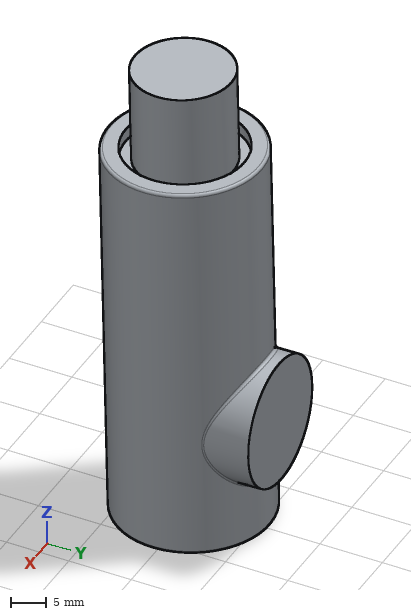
import cadquery as cq
import math

overall_height = 76.6
tilt_angle = 1.25
body_radius = 12.25
body_height = 62.75
edge_radius = 0.45
shaft_radius = 7.75
recess_radius = 9.5
recess_depth = 2.0
branch_radius = 10.0
branch_height = 18.9
branch_reach = 14.3

lean_sin = math.sin(math.radians(tilt_angle))
lean_cos = math.cos(math.radians(tilt_angle))
rim_drop = (body_radius - edge_radius) * lean_sin + edge_radius * (1 - lean_cos)
axis_length = (overall_height - rim_drop - shaft_radius * lean_sin) / lean_cos
recess_floor = body_height - recess_depth


def make_body():
    """Upright cylinder with both rims rounded."""
    body = cq.Workplane("XY").circle(body_radius).extrude(body_height)
    return body.edges("%CIRCLE").fillet(edge_radius)


def add_branch(body):
    """Short round stub on the +Y side, blended into the body wall."""
    stub = (
        cq.Workplane("XZ", origin=(0, 0, branch_height))
        .circle(branch_radius)
        .extrude(-branch_reach)
    )
    joined = body.union(stub)
    joint = joined.edges("not(%LINE or %CIRCLE)")
    return joint.fillet(edge_radius)


def cut_recess(body):
    """Round recess in the top face; the shaft stands in it."""
    recess = (
        cq.Workplane("XY", origin=(0, 0, recess_floor))
        .circle(recess_radius)
        .extrude(recess_depth)
    )
    return body.cut(recess)


def make_shaft():
    """Solid shaft from the recess floor to its free end."""
    return (
        cq.Workplane("XY", origin=(0, 0, recess_floor))
        .circle(shaft_radius)
        .extrude(axis_length - recess_floor)
    )


upright = cut_recess(add_branch(make_body())).union(make_shaft())
result = upright.rotate((0, 0, 0), (1, 0, 0), tilt_angle)